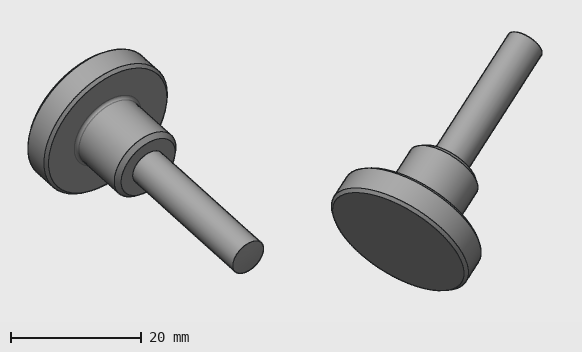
import cadquery as cq

head_diameter = 24.0
head_thickness = 5.0
head_chamfer = 0.5

hub_diameter = 12.0
hub_length = 10.0
hub_chamfer = 0.75
hub_root_fillet = 0.5

shank_diameter = 6.0
shank_length = 25.0
dome_height = 0.25

head_radius = head_diameter / 2
hub_radius = hub_diameter / 2
shank_radius = shank_diameter / 2
hub_end = head_thickness + hub_length
shank_tip = hub_end + shank_length


def make_knob_profile():
    """Half section in the XY plane, with the knob axis along Y = 0."""
    shank_shoulder = shank_tip - dome_height
    dome_radius = (shank_radius**2 + dome_height**2) / (2 * dome_height)
    return (
        cq.Workplane("XY")
        .lineTo(0, head_radius - head_chamfer)
        .lineTo(head_chamfer, head_radius)
        .lineTo(head_thickness - head_chamfer, head_radius)
        .lineTo(head_thickness, head_radius - head_chamfer)
        .lineTo(head_thickness, hub_radius + hub_root_fillet)
        .radiusArc((head_thickness + hub_root_fillet, hub_radius), -hub_root_fillet)
        .lineTo(hub_end - hub_chamfer, hub_radius)
        .lineTo(hub_end, hub_radius - hub_chamfer)
        .lineTo(hub_end, shank_radius)
        .lineTo(shank_shoulder, shank_radius)
        .radiusArc((shank_tip, 0), dome_radius)
        .close()
    )


result = make_knob_profile().revolve(360, (0, 0, 0), (1, 0, 0))